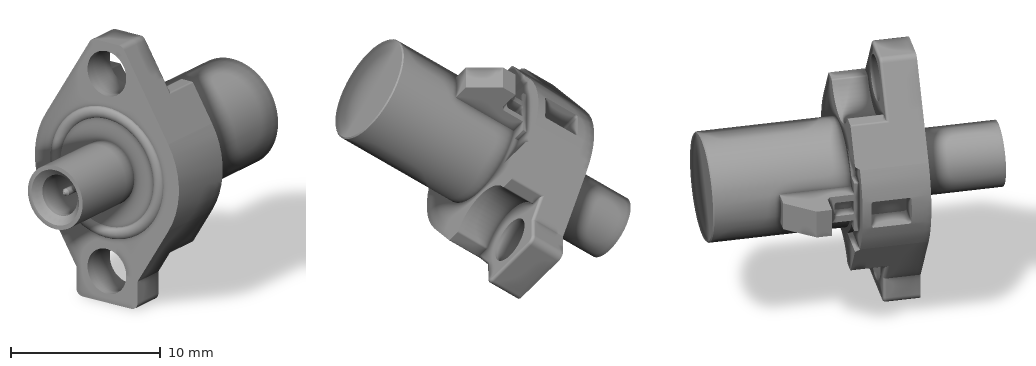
import cadquery as cq
import math


disc_radius = 5.95
flank_angle = math.radians(31.5)
half_height = 9.3
tab_half_width = 2.52
tip_rounding = 0.5

plate_thickness = 2.55
flange_thickness = 5.0
shoulder_half_height = 5.72
shoulder_rounding = 0.16
plate_rim_rounding = 0.2
hole_diameter = 3.2
hole_offset = 7.06
screw_recess_radius = 2.83

bead_inner_radius = 3.83
bead_outer_radius = 4.65
bead_height = 0.25

tube_diameter = 7.5
tube_end = 14.45
tube_chamfer = 0.08

stem_length = 5.9
stem_radius = 2.25
bore_radius = 1.45
bore_mouth_radius = 1.95
bore_cone_depth = 0.53
pin_radius = 0.26
pin_tip_radius = 0.1
pin_tip_length = 0.2
pin_setback = 1.02

latch_half_width = 1.02
latch_face = 4.65
hook_reach = 6.25
hook_bottom = 6.88
hook_corner = 0.22
hook_ramp_start = 7.92
hook_ramp_reach = 4.75
latch_end = 9.9
latch_pocket_half_width = 0.53
latch_pocket_end = 6.35
latch_pocket_depth = 0.81

step_depth = 0.3
step_half_height = 3.34
step_side_slope = 0.18
step_core_radius = 4.17
latch_base_half_width = 1.87

window_start = 1.35
window_end = 4.1
window_half_height = 1.02
window_floor = 4.2

pocket_corner_rounding = 0.16


def box(x_range, y_range, z_range):
    """Box spanning the given (low, high) ranges."""
    spans = (x_range, y_range, z_range)
    size = [high - low for low, high in spans]
    return cq.Workplane("XY").box(*size, centered=False).translate([low for low, high in spans])


def cylinder(radius, y_start, y_end, z_center=0):
    """Cylinder along Y between two stations."""
    base = cq.Workplane("XZ", origin=(0, y_start, 0)).center(0, z_center)
    return base.circle(radius).extrude(y_start - y_end)


def flank_x(z):
    """Half width of the flange where its flank is at height |z|."""
    return (disc_radius - abs(z) * math.sin(flank_angle)) / math.cos(flank_angle)


def flank_z(x):
    """Height at which the flank reaches the half width x."""
    return (disc_radius - x * math.cos(flank_angle)) / math.sin(flank_angle)


def flange_outline(thickness):
    """Full flange outline, extruded back from Y = 0."""
    tangent_x = disc_radius * math.cos(flank_angle)
    tangent_z = disc_radius * math.sin(flank_angle)
    top_x = flank_x(half_height)
    tab_z = flank_z(tab_half_width)
    solid = (
        cq.Workplane("XZ")
        .moveTo(-top_x, half_height)
        .lineTo(top_x, half_height)
        .lineTo(tangent_x, tangent_z)
        .threePointArc((disc_radius, 0), (tangent_x, -tangent_z))
        .lineTo(tab_half_width, -tab_z)
        .lineTo(tab_half_width, -half_height)
        .lineTo(-tab_half_width, -half_height)
        .lineTo(-tab_half_width, -tab_z)
        .lineTo(-tangent_x, -tangent_z)
        .threePointArc((-disc_radius, 0), (-tangent_x, tangent_z))
        .close()
        .extrude(-thickness)
    )
    return round_edges_at_height(solid, half_height, tip_rounding)


def round_edges_at_height(solid, height, radius):
    """Round the edges along Y that lie at Z = +height and Z = -height."""
    margin = 0.02
    reach = 2 * disc_radius
    for z in (height, -height):
        zone = cq.selectors.BoxSelector((-reach, -reach, z - margin), (reach, reach, z + margin))
        solid = solid.edges("|Y").edges(zone).fillet(radius)
    return solid


def make_plate():
    """Thin flange plate with a rounded back rim."""
    return flange_outline(plate_thickness).faces(">Y").edges().fillet(plate_rim_rounding)


def make_shoulder():
    """Thick middle of the flange, scooped out around the screw holes."""
    band = box(
        (-2 * disc_radius, 2 * disc_radius),
        (0, flange_thickness),
        (-shoulder_half_height, shoulder_half_height),
    )
    shoulder = flange_outline(flange_thickness).intersect(band)
    for z in (hole_offset, -hole_offset):
        shoulder = shoulder.cut(cylinder(screw_recess_radius, 0, flange_thickness, z))
    return round_edges_at_height(shoulder, shoulder_half_height, shoulder_rounding)


def make_back_step():
    """Material removed from the flange back beside the latch base."""
    step_floor = flange_thickness - step_depth
    floor_half_height = step_half_height - step_side_slope
    slot = (
        cq.Workplane("YZ")
        .polyline(
            [
                (flange_thickness, -step_half_height),
                (flange_thickness, step_half_height),
                (step_floor, floor_half_height),
                (step_floor, -floor_half_height),
            ]
        )
        .close()
        .extrude(-2 * disc_radius)
    )
    latch_base = box(
        (-latch_face, 0),
        (step_floor, flange_thickness),
        (-latch_base_half_width, latch_base_half_width),
    )
    core = cylinder(step_core_radius, step_floor, flange_thickness)
    return slot.cut(core).cut(latch_base)


def make_rim_window():
    """Pocket cut into the -X rim of the flange."""
    window = box(
        (-2 * disc_radius, -window_floor),
        (window_start, window_end),
        (-window_half_height, window_half_height),
    )
    return window.edges("|X").fillet(pocket_corner_rounding)


def make_flange():
    """Complete flange with its screw holes, back step and rim window."""
    flange = make_plate().union(make_shoulder())
    for z in (hole_offset, -hole_offset):
        flange = flange.cut(cylinder(hole_diameter / 2, 0, flange_thickness, z))
    return flange.cut(make_back_step()).cut(make_rim_window())


def make_bead():
    """Ring with an arched section on the flange front."""
    crest_radius = (bead_inner_radius + bead_outer_radius) / 2
    return (
        cq.Workplane("XY")
        .moveTo(bead_inner_radius, 0)
        .threePointArc((crest_radius, -bead_height), (bead_outer_radius, 0))
        .close()
        .revolve(360, (0, 0, 0), (0, 1, 0))
    )


def make_tube():
    """Plain plug tube with a chamfered end."""
    return cylinder(tube_diameter / 2, 0, tube_end).faces(">Y").edges().chamfer(tube_chamfer)


def make_stem():
    """Hollow stem with a flared mouth and a taper-tipped contact pin."""
    stem = (
        cq.Workplane("XY")
        .polyline(
            [
                (stem_radius, 0),
                (stem_radius, -stem_length),
                (bore_mouth_radius, -stem_length),
                (bore_radius, bore_cone_depth - stem_length),
                (bore_radius, 0),
            ]
        )
        .close()
        .revolve(360, (0, 0, 0), (0, 1, 0))
    )
    tip = pin_setback - stem_length
    pin = (
        cq.Workplane("XY")
        .polyline(
            [
                (0, 0),
                (pin_radius, 0),
                (pin_radius, tip + pin_tip_length),
                (pin_tip_radius, tip),
                (0, tip),
            ]
        )
        .close()
        .revolve(360, (0, 0, 0), (0, 1, 0))
    )
    return stem.union(pin)


def make_latch():
    """Hooked latch running along the -X side of the tube."""
    latch = (
        cq.Workplane("XY", origin=(0, 0, -latch_half_width))
        .polyline(
            [
                (0, flange_thickness),
                (-latch_face, flange_thickness),
                (-latch_face, hook_bottom - hook_corner),
                (-latch_face - hook_corner, hook_bottom),
                (-hook_reach, hook_bottom),
                (-hook_reach, hook_ramp_start),
                (-hook_ramp_reach, latch_end),
                (0, latch_end),
            ]
        )
        .close()
        .extrude(2 * latch_half_width)
    )
    pocket = box(
        (-latch_face, latch_pocket_depth - latch_face),
        (flange_thickness, latch_pocket_end),
        (-latch_pocket_half_width, latch_pocket_half_width),
    )
    return latch.cut(pocket.edges("|X").fillet(pocket_corner_rounding))


result = make_flange().union(make_tube()).union(make_stem()).union(make_bead()).union(make_latch())